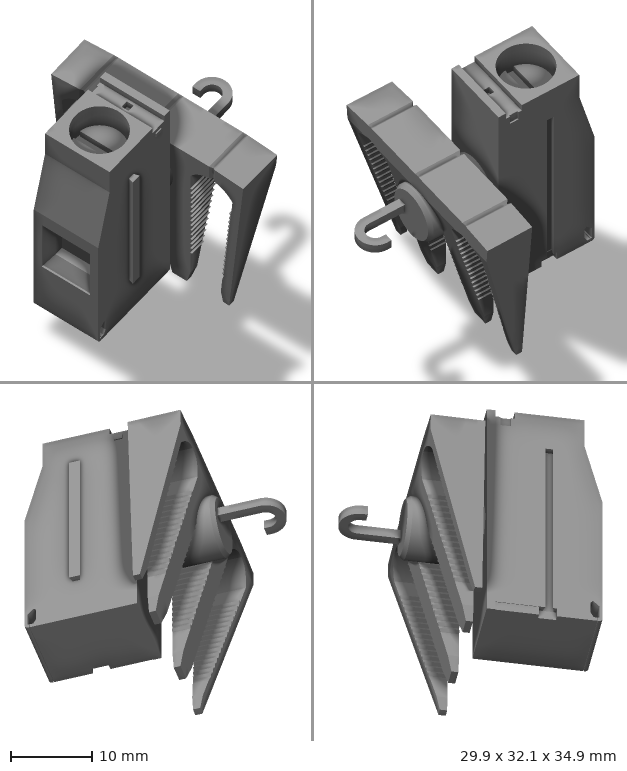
import cadquery as cq
import math


OVERALL_HEIGHT = 34.88

HOUSING_WIDTH = 10.0
HOUSING_DEPTH = 14.5
HOUSING_HEIGHT = 31.55
TOP_DEPTH = 12.2
SLOPE_TOP_Z = 27.55
SLOPE_BOTTOM_Z = 18.8
BOTTOM_EDGE_RADIUS = 0.45
HALF_WIDTH = HOUSING_WIDTH / 2

MARKER_GROOVE_Y = -2.3
MARKER_GROOVE_WIDTH = 2.4
MARKER_GROOVE_DEPTH = 0.98
MARKER_FLOOR_Z = HOUSING_HEIGHT - MARKER_GROOVE_DEPTH
TEST_HOLE_SIZE = 1.05
TEST_HOLE_Y = -2.0

CATCH_Y = -2.37
CATCH_RECESS_SIZE = 1.3
CATCH_RECESS_DEPTH = 0.2
CATCH_BUMP_WIDTH = 1.08
CATCH_BUMP_HEIGHT = 0.63
CATCH_BUMP_OUT = 0.15
CATCH_BOTTOM_Z = MARKER_FLOOR_Z - CATCH_RECESS_SIZE

DOVETAIL_Y = -7.8
DOVETAIL_TOP_Z = 26.37
RIB_BOTTOM_Z = 6.3
RIB_BASE_WIDTH = 0.9
RIB_TIP_WIDTH = 1.4
RIB_DEPTH = 0.75
GROOVE_CLEARANCE = 0.07

ENTRY_HEIGHT = 1.22
ENTRY_REAR_Y = -6.55
ENTRY_WIDTH = 2.25
STRIP_REAR_Y = -1.08
STRIP_DEPTH = 0.07

SHAFT_DIAMETER = 7.5
SCREW_DIAMETER = 7.2
SCREW_Y = -7.7
SCREW_FACE_DEPTH = 3.55
SCREW_SLOT_WIDTH = 1.3
SCREW_SLOT_DEPTH = 1.05

FUNNEL_Z = 12.55
FUNNEL_MOUTH = (7.45, 8.2)
FUNNEL_THROAT = (5.3, 4.33)
FUNNEL_LIP_DEPTH = 0.28
FUNNEL_TAPER_DEPTH = 1.08
FUNNEL_END_DEPTH = 1.25

CORNER_SLOT = [(-13.0, 2.8), (-13.32, 3.07), (-14.13, 2.3), (-14.13, 0.52), (-13.4, 0.52), (-13.0, 1.2)]
SLIT_Y = -13.88
SLIT_WIDTH = 0.07
SLIT_TOP_Z = 0.7

NECK_DIAMETER = 8.0
NECK_LENGTH = 9.65
NECK_Z = 15.4
NECK_CHAMFER_LENGTH = 0.55
NECK_CHAMFER_HEIGHT = 0.42
HOOK_OUTER_RADIUS = 2.55
HOOK_INNER_RADIUS = 1.33
HOOK_THICKNESS = 1.33
HOOK_END_Y = 14.45
HOOK_TIP_Y = 17.65
HOOK_CENTER_Y = HOOK_TIP_Y - HOOK_OUTER_RADIUS

WEDGE_WIDTH = 29.93
WEDGE_FRONT_Y = 1.95
WEDGE_REAR_Y = 8.8
WEDGE_TOP_Z = 22.0
WEDGE_BOTTOM_Z = HOUSING_HEIGHT - OVERALL_HEIGHT
RAMP_TOP_Z = 19.4
RAMP_BOTTOM_Y = 2.83

INNER_LEG_OUTER_X = 6.7
INNER_LEG_INNER_X = 3.4
LEG_TAPER_BOTTOM_IN = 0.52
LEG_TAPER_HEIGHT = 2.1

HINGE_X = 10.05
OUTER_LEG_TILT = 5.0
OUTER_LEG_FLANK = (WEDGE_WIDTH / 2 - HINGE_X) / math.cos(math.radians(OUTER_LEG_TILT))
OUTER_LEG_FACE = 3.55
OUTER_LEG_BULGE = 3.42
OUTER_LEG_TIP = 3.9
OUTER_LEG_LENGTH = 24.87
BULGE_START_DROP = 19.8
BULGE_FULL_DROP = 20.45
BULGE_END_DROP = 23.13
FLANK_DRAFT = 0.07

ARCH_CROWN_DROP = 2.3
ARCH_FOOT_DROP = 4.08

TOOTH_COUNT = 15
TOOTH_PITCH = 0.9
TOOTH_OUT = 0.28
TOOTH_HEIGHT = 0.42
FIRST_TOOTH_DROP = 6.6

RELIEF_CENTER_Z = 17.45
RELIEF_DEPTH = 0.35

NOTCH_HALF_WIDTH = 0.42
NOTCH_TOP_DEPTH = 0.35
NOTCH_FRONT_DEPTH = 0.35
NOTCH_END_LENGTH = 0.28


def block(x_range, y_range, z_range):
    """Box between the given limits."""
    size = [high - low for low, high in (x_range, y_range, z_range)]
    corner = (x_range[0], y_range[0], z_range[0])
    return cq.Workplane("XY").box(*size, centered=False).translate(corner)


def extrude_along_x(points, x_start, x_end):
    """Prism along X from an outline in (Y, Z)."""
    return cq.Workplane("YZ", origin=(x_start, 0, 0)).polyline(points).close().extrude(x_end - x_start)


def extrude_along_y(outline, y_start, y_end):
    """Prism along Y from closed outlines on an XZ workplane at Y = 0."""
    return outline.extrude(y_start - y_end).translate((0, y_start, 0))


def housing_block():
    outline = [
        (0, 0),
        (-HOUSING_DEPTH, 0),
        (-HOUSING_DEPTH, SLOPE_BOTTOM_Z),
        (-TOP_DEPTH, SLOPE_TOP_Z),
        (-TOP_DEPTH, HOUSING_HEIGHT),
        (0, HOUSING_HEIGHT),
    ]
    body = extrude_along_x(outline, -HALF_WIDTH, HALF_WIDTH)
    return body.edges("|X and <Y and <Z").fillet(BOTTOM_EDGE_RADIUS)


def marker_groove():
    half = MARKER_GROOVE_WIDTH / 2
    groove = block(
        (-HALF_WIDTH, HALF_WIDTH),
        (MARKER_GROOVE_Y - half, MARKER_GROOVE_Y + half),
        (MARKER_FLOOR_Z, HOUSING_HEIGHT),
    )
    half_hole = TEST_HOLE_SIZE / 2
    test_hole = block(
        (-half_hole, half_hole),
        (TEST_HOLE_Y - half_hole, TEST_HOLE_Y + half_hole),
        (MARKER_FLOOR_Z - TEST_HOLE_SIZE, MARKER_FLOOR_Z),
    )
    return groove.union(test_hole)


def catch_recess():
    half = CATCH_RECESS_SIZE / 2
    return block(
        (-HALF_WIDTH, -HALF_WIDTH + CATCH_RECESS_DEPTH),
        (CATCH_Y - half, CATCH_Y + half),
        (CATCH_BOTTOM_Z, MARKER_FLOOR_Z),
    )


def catch_bump():
    half = CATCH_BUMP_WIDTH / 2
    return block(
        (HALF_WIDTH, HALF_WIDTH + CATCH_BUMP_OUT),
        (CATCH_Y - half, CATCH_Y + half),
        (CATCH_BOTTOM_Z, CATCH_BOTTOM_Z + CATCH_BUMP_HEIGHT),
    )


def dovetail(side_x, clearance, z_bottom):
    """Dovetail bar that widens towards +X from the plane at side_x."""
    half_base = (RIB_BASE_WIDTH + clearance) / 2
    half_tip = (RIB_TIP_WIDTH + clearance) / 2
    tip_x = side_x + RIB_DEPTH + clearance
    outline = [
        (side_x, DOVETAIL_Y - half_base),
        (tip_x, DOVETAIL_Y - half_tip),
        (tip_x, DOVETAIL_Y + half_tip),
        (side_x, DOVETAIL_Y + half_base),
    ]
    plane = cq.Workplane("XY", origin=(0, 0, z_bottom))
    return plane.polyline(outline).close().extrude(DOVETAIL_TOP_Z - z_bottom)


def rib_entry():
    entry = block(
        (-HALF_WIDTH, -HALF_WIDTH + RIB_DEPTH),
        (ENTRY_REAR_Y - ENTRY_WIDTH, ENTRY_REAR_Y),
        (0, ENTRY_HEIGHT),
    )
    strip = block(
        (-HALF_WIDTH, -HALF_WIDTH + STRIP_DEPTH),
        (ENTRY_REAR_Y, STRIP_REAR_Y),
        (0, ENTRY_HEIGHT),
    )
    return entry.union(strip)


def screw_shaft():
    """Shaft above the screw head, the gap around the head, and its slot."""
    face_z = HOUSING_HEIGHT - SCREW_FACE_DEPTH
    slot_floor_z = face_z - SCREW_SLOT_DEPTH
    shaft = (
        cq.Workplane("XY", origin=(0, SCREW_Y, slot_floor_z))
        .circle(SHAFT_DIAMETER / 2)
        .extrude(HOUSING_HEIGHT - slot_floor_z)
    )
    head_plane = cq.Workplane("XY", origin=(0, SCREW_Y, slot_floor_z))
    head = head_plane.circle(SCREW_DIAMETER / 2).extrude(SCREW_SLOT_DEPTH)
    slot = head_plane.rect(SHAFT_DIAMETER, SCREW_SLOT_WIDTH).extrude(SCREW_SLOT_DEPTH)
    return shaft.cut(head.cut(slot))


def wire_funnel():
    taper_start_y = -HOUSING_DEPTH + FUNNEL_LIP_DEPTH
    taper_end_y = taper_start_y + FUNNEL_TAPER_DEPTH
    lip = (
        cq.Workplane("XZ", origin=(0, -HOUSING_DEPTH, FUNNEL_Z))
        .rect(*FUNNEL_MOUTH)
        .extrude(-FUNNEL_LIP_DEPTH)
    )
    taper = (
        cq.Workplane("XZ", origin=(0, taper_start_y, FUNNEL_Z))
        .rect(*FUNNEL_MOUTH)
        .workplane(offset=-FUNNEL_TAPER_DEPTH)
        .rect(*FUNNEL_THROAT)
        .loft(ruled=True)
    )
    end = (
        cq.Workplane("XZ", origin=(0, taper_end_y, FUNNEL_Z))
        .rect(*FUNNEL_THROAT)
        .extrude(-FUNNEL_END_DEPTH)
    )
    return lip.union(taper).union(end)


def corner_slot():
    slot = extrude_along_x(CORNER_SLOT, -HALF_WIDTH, HALF_WIDTH)
    slit = block(
        (-HALF_WIDTH, HALF_WIDTH),
        (SLIT_Y - SLIT_WIDTH / 2, SLIT_Y + SLIT_WIDTH / 2),
        (0, SLIT_TOP_Z),
    )
    return slot.union(slit)


def neck():
    radius = NECK_DIAMETER / 2
    half_section = [
        (0, 0),
        (radius, 0),
        (radius, NECK_LENGTH - NECK_CHAMFER_LENGTH),
        (radius - NECK_CHAMFER_HEIGHT, NECK_LENGTH),
        (0, NECK_LENGTH),
    ]
    turned = cq.Workplane("XY").polyline(half_section).close().revolve(360, (0, 0, 0), (0, 1, 0))
    return turned.translate((0, 0, NECK_Z))


def hook():
    outline = (
        cq.Workplane("XY", origin=(0, 0, NECK_Z - HOOK_THICKNESS / 2))
        .moveTo(HOOK_OUTER_RADIUS, NECK_LENGTH)
        .lineTo(HOOK_OUTER_RADIUS, HOOK_CENTER_Y)
        .threePointArc((0, HOOK_TIP_Y), (-HOOK_OUTER_RADIUS, HOOK_CENTER_Y))
        .lineTo(-HOOK_OUTER_RADIUS, HOOK_END_Y)
        .lineTo(-HOOK_INNER_RADIUS, HOOK_END_Y)
        .lineTo(-HOOK_INNER_RADIUS, HOOK_CENTER_Y)
        .threePointArc((0, HOOK_CENTER_Y + HOOK_INNER_RADIUS), (HOOK_INNER_RADIUS, HOOK_CENTER_Y))
        .lineTo(HOOK_INNER_RADIUS, NECK_LENGTH)
        .close()
    )
    return outline.extrude(HOOK_THICKNESS)


def make_housing():
    body = housing_block()
    body = body.cut(marker_groove()).cut(catch_recess())
    body = body.cut(dovetail(-HALF_WIDTH, GROOVE_CLEARANCE, ENTRY_HEIGHT)).cut(rib_entry())
    body = body.cut(screw_shaft()).cut(wire_funnel()).cut(corner_slot())
    body = body.union(catch_bump()).union(dovetail(HALF_WIDTH, 0, RIB_BOTTOM_Z))
    return body.union(neck()).union(hook())


def arch_middle(span):
    """(distance from the crown, drop) halfway along an arch that is level at its crown."""
    rise = ARCH_FOOT_DROP - ARCH_CROWN_DROP
    radius = (span**2 + rise**2) / (2 * rise)
    angle = math.asin(span / radius) / 2
    return radius * math.sin(angle), ARCH_CROWN_DROP + radius * (1 - math.cos(angle))


def leg_teeth(face_x, direction):
    """Row of teeth on the leg face at face_x, pointing along X in the given direction."""
    teeth = cq.Workplane("XZ")
    for index in range(TOOTH_COUNT):
        top_z = WEDGE_TOP_Z - FIRST_TOOTH_DROP - index * TOOTH_PITCH
        teeth = (
            teeth.moveTo(face_x, top_z)
            .lineTo(face_x + direction * TOOTH_OUT, top_z)
            .lineTo(face_x, top_z - TOOTH_HEIGHT)
            .close()
        )
    return extrude_along_y(teeth, WEDGE_FRONT_Y, WEDGE_REAR_Y)


def inner_leg():
    """Half of the crosspiece on the -X side with its inner leg."""
    span = HINGE_X - INNER_LEG_OUTER_X
    middle_x, middle_drop = arch_middle(span)
    taper_top_z = WEDGE_BOTTOM_Z + LEG_TAPER_HEIGHT
    outline = (
        cq.Workplane("XZ")
        .moveTo(0, WEDGE_TOP_Z)
        .lineTo(-HINGE_X, WEDGE_TOP_Z)
        .lineTo(-HINGE_X, WEDGE_TOP_Z - ARCH_CROWN_DROP)
        .threePointArc(
            (middle_x - HINGE_X, WEDGE_TOP_Z - middle_drop),
            (-INNER_LEG_OUTER_X, WEDGE_TOP_Z - ARCH_FOOT_DROP),
        )
        .lineTo(-INNER_LEG_OUTER_X, taper_top_z)
        .lineTo(-INNER_LEG_OUTER_X + LEG_TAPER_BOTTOM_IN, WEDGE_BOTTOM_Z)
        .lineTo(-INNER_LEG_INNER_X - LEG_TAPER_BOTTOM_IN, WEDGE_BOTTOM_Z)
        .lineTo(-INNER_LEG_INNER_X, taper_top_z)
        .lineTo(-INNER_LEG_INNER_X, NECK_Z)
        .lineTo(0, NECK_Z)
        .close()
    )
    leg = extrude_along_y(outline, WEDGE_FRONT_Y, WEDGE_REAR_Y)
    leg = leg.union(leg_teeth(-INNER_LEG_OUTER_X, -1))
    return leg.union(leg_teeth(-INNER_LEG_INNER_X, 1))


def outer_leg():
    """Outer leg on the -X side, turned inwards about the hinge line."""
    middle_x, middle_drop = arch_middle(OUTER_LEG_FACE)
    outline = (
        cq.Workplane("XZ", origin=(-HINGE_X, 0, WEDGE_TOP_Z))
        .moveTo(0, 0)
        .lineTo(-OUTER_LEG_FLANK, 0)
        .lineTo(-OUTER_LEG_FLANK, -OUTER_LEG_LENGTH)
        .lineTo(-OUTER_LEG_TIP, -OUTER_LEG_LENGTH)
        .lineTo(-OUTER_LEG_BULGE, -BULGE_END_DROP)
        .lineTo(-OUTER_LEG_BULGE, -BULGE_FULL_DROP)
        .lineTo(-OUTER_LEG_FACE, -BULGE_START_DROP)
        .lineTo(-OUTER_LEG_FACE, -ARCH_FOOT_DROP)
        .threePointArc((-middle_x, -middle_drop), (0, -ARCH_CROWN_DROP))
        .close()
    )
    flank_x = -HINGE_X - OUTER_LEG_FLANK
    draft = (
        cq.Workplane("XY", origin=(0, 0, WEDGE_TOP_Z))
        .polyline([(flank_x, WEDGE_FRONT_Y), (flank_x + FLANK_DRAFT, WEDGE_FRONT_Y), (flank_x, WEDGE_REAR_Y)])
        .close()
        .extrude(-OUTER_LEG_LENGTH)
    )
    leg = extrude_along_y(outline, WEDGE_FRONT_Y, WEDGE_REAR_Y)
    leg = leg.union(leg_teeth(-HINGE_X - OUTER_LEG_FACE, 1)).cut(draft)
    return leg.rotate((-HINGE_X, 0, WEDGE_TOP_Z), (-HINGE_X, 1, WEDGE_TOP_Z), -OUTER_LEG_TILT)


def side_envelope():
    """Side shape of the wedge: upright front, rear face sloping in below the ramp top."""
    outline = [
        (WEDGE_FRONT_Y, WEDGE_BOTTOM_Z),
        (RAMP_BOTTOM_Y, WEDGE_BOTTOM_Z),
        (WEDGE_REAR_Y, RAMP_TOP_Z),
        (WEDGE_REAR_Y, WEDGE_TOP_Z),
        (WEDGE_FRONT_Y, WEDGE_TOP_Z),
    ]
    reach = HINGE_X + OUTER_LEG_FLANK
    return extrude_along_x(outline, -reach, reach)


def notch(center_x):
    """V-groove along the top that closes at the rear and turns down the front face."""
    left_x = center_x - NOTCH_HALF_WIDTH
    right_x = center_x + NOTCH_HALF_WIDTH
    top_outline = (
        cq.Workplane("XZ")
        .moveTo(left_x, WEDGE_TOP_Z)
        .lineTo(right_x, WEDGE_TOP_Z)
        .lineTo(center_x, WEDGE_TOP_Z - NOTCH_TOP_DEPTH)
        .close()
    )
    top_groove = extrude_along_y(top_outline, WEDGE_FRONT_Y, WEDGE_REAR_Y)
    rear_end = [
        (WEDGE_REAR_Y, WEDGE_TOP_Z),
        (WEDGE_REAR_Y, WEDGE_TOP_Z - NOTCH_TOP_DEPTH),
        (WEDGE_REAR_Y - NOTCH_END_LENGTH, WEDGE_TOP_Z - NOTCH_TOP_DEPTH),
    ]
    top_groove = top_groove.cut(extrude_along_x(rear_end, left_x, right_x))
    front_groove = (
        cq.Workplane("XY", origin=(0, 0, WEDGE_TOP_Z))
        .moveTo(left_x, WEDGE_FRONT_Y)
        .lineTo(right_x, WEDGE_FRONT_Y)
        .lineTo(center_x, WEDGE_FRONT_Y + NOTCH_FRONT_DEPTH)
        .close()
        .extrude(-ARCH_FOOT_DROP)
    )
    return top_groove.union(front_groove)


def neck_relief():
    """Shallow round-topped pocket in the front face, above the neck."""
    radius = INNER_LEG_INNER_X
    outline = (
        cq.Workplane("XZ")
        .moveTo(-radius, NECK_Z)
        .lineTo(-radius, RELIEF_CENTER_Z)
        .threePointArc((0, RELIEF_CENTER_Z + radius), (radius, RELIEF_CENTER_Z))
        .lineTo(radius, NECK_Z)
        .close()
    )
    return extrude_along_y(outline, WEDGE_FRONT_Y, WEDGE_FRONT_Y + RELIEF_DEPTH)


def make_wedge():
    half = inner_leg().union(outer_leg())
    wedge = half.union(half.mirror("YZ")).intersect(side_envelope())
    for center_x in (-HINGE_X, 0, HINGE_X):
        wedge = wedge.cut(notch(center_x))
    return wedge.cut(neck_relief()).cut(neck())


housing = make_housing()
wedge = make_wedge()

result = cq.Compound.makeCompound([housing.val(), wedge.val()])